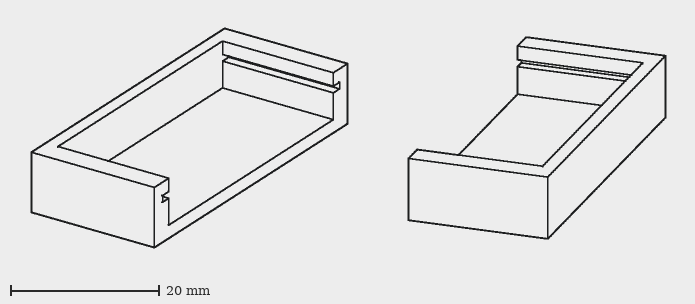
import cadquery as cq

length_x = 20.0
width_y = 47.0
height_z = 9.0

wall = 2.0
floor_thickness = 2.0
groove_depth = 1.5
side_wall = wall + groove_depth

lip_height = 2.0
groove_height = 1.0

cavity_length = length_x - wall
cavity_width = width_y - 2 * side_wall
groove_span = cavity_width + 2 * groove_depth
groove_bottom = height_z - lip_height - groove_height


def open_ended_space(width, bottom, height):
    """Block from the back wall to the open +X end, centred across the tray."""
    return (
        cq.Workplane("XY")
        .box(cavity_length, width, height, centered=(False, True, False))
        .translate((wall, 0, bottom))
    )


body = cq.Workplane("XY").box(length_x, width_y, height_z, centered=(False, True, False))
cavity = open_ended_space(cavity_width, floor_thickness, height_z - floor_thickness)
grooves = open_ended_space(groove_span, groove_bottom, groove_height)

result = body.cut(cavity).cut(grooves)